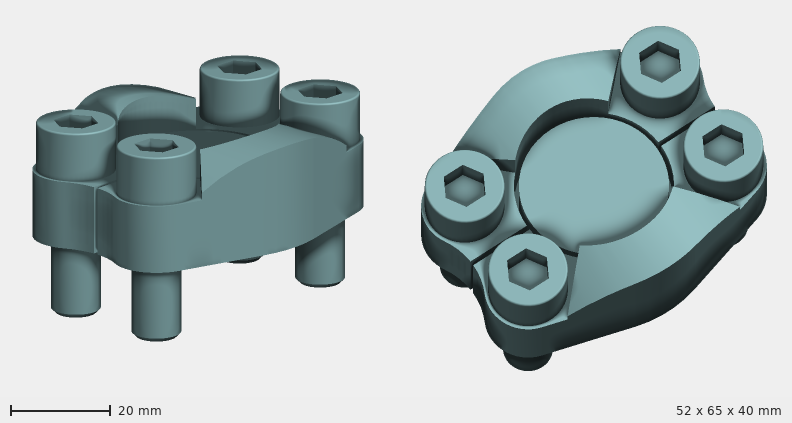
import cadquery as cq
import math

overall_length = 65.0
crown_radius = 26.0
bolt_x = 11.1
bolt_y = 23.8
ear_radius = overall_length / 2 - bolt_y
waist_radius = 15.0
base_height = 14.0
crown_height = 22.0
crown_arc_radius = 37.5
gap_width = 1.0

bore_diameter = 32.05
neck_diameter = 30.1
flange_diameter = 38.1
flange_bottom = -2.0
flange_top = 4.7
rim_groove_bottom = 0.2
rim_groove_top = 1.4
rim_groove_depth = 0.5

head_diameter = 16.0
head_height = 10.0
head_fillet = 0.4
shank_diameter = 10.0
shank_bottom = -16.0
tip_chamfer = 0.9
socket_flats = 8.0
socket_depth = 5.0


def clamp_outline():
    """Closed outline of both halves: side arcs, straight flanks, ears and waists, all tangent."""
    ear_distance = math.hypot(bolt_x, bolt_y)
    flank = math.atan2(bolt_y, bolt_x) - math.acos((crown_radius - ear_radius) / ear_distance)
    waist_y = bolt_y + math.sqrt((ear_radius + waist_radius) ** 2 - bolt_x ** 2)
    waist_angle = math.atan2(waist_y - bolt_y, -bolt_x)

    def on_ear(angle):
        return (bolt_x + ear_radius * math.cos(angle), bolt_y + ear_radius * math.sin(angle))

    side = (crown_radius * math.cos(flank), crown_radius * math.sin(flank))
    ear_start = on_ear(flank)
    ear_top = on_ear(math.pi / 2)
    ear_end = on_ear(waist_angle)
    waist_low = (0, waist_y - waist_radius)

    def flip(point, x_sign, y_sign):
        return (x_sign * point[0], y_sign * point[1])

    outline = cq.Workplane("XY").moveTo(*flip(side, 1, -1)).threePointArc((crown_radius, 0), side)
    outline = outline.lineTo(*ear_start).threePointArc(ear_top, ear_end)
    outline = outline.threePointArc(waist_low, flip(ear_end, -1, 1))
    outline = outline.threePointArc(flip(ear_top, -1, 1), flip(ear_start, -1, 1))
    outline = outline.lineTo(*flip(side, -1, 1)).threePointArc((-crown_radius, 0), flip(side, -1, -1))
    outline = outline.lineTo(*flip(ear_start, -1, -1))
    outline = outline.threePointArc(flip(ear_top, -1, -1), flip(ear_end, -1, -1))
    outline = outline.threePointArc(flip(waist_low, 1, -1), flip(ear_end, 1, -1))
    outline = outline.threePointArc(flip(ear_top, 1, -1), flip(ear_start, 1, -1))
    return outline.close()


def cylinder(diameter, bottom, top):
    return cq.Workplane("XY").workplane(offset=bottom).circle(diameter / 2).extrude(top - bottom)


def make_clamp():
    body = clamp_outline().extrude(crown_height)

    reach = 2 * crown_radius
    arch = (
        cq.Workplane("YZ")
        .center(0, crown_height - crown_arc_radius)
        .circle(crown_arc_radius)
        .extrude(reach, both=True)
    )
    above_seats = (
        cq.Workplane("XY")
        .workplane(offset=base_height)
        .rect(2 * reach, 2 * reach)
        .extrude(crown_height)
    )
    body = body.cut(above_seats.cut(arch))

    for end in (1, -1):
        seat = (
            cq.Workplane("XY")
            .workplane(offset=base_height)
            .polyline([(0, 0), (reach, end * reach), (-reach, end * reach)])
            .close()
            .extrude(crown_height)
        )
        body = body.cut(seat)

    body = body.cut(cylinder(bore_diameter, 0, crown_height))
    body = body.cut(cylinder(flange_diameter, 0, flange_top))
    gap = cq.Workplane("XY").rect(gap_width, 2 * reach).extrude(crown_height)
    return body.cut(gap)


def make_plug():
    flange = cylinder(flange_diameter, flange_bottom, flange_top)
    groove = cylinder(flange_diameter, rim_groove_bottom, rim_groove_top)
    groove = groove.cut(cylinder(flange_diameter - 2 * rim_groove_depth, rim_groove_bottom, rim_groove_top))
    neck = cylinder(neck_diameter, flange_top, base_height)
    return flange.cut(groove).union(neck)


def make_bolt():
    head_top = base_height + head_height
    head = cylinder(head_diameter, base_height, head_top).faces(">Z").fillet(head_fillet)
    shank = cylinder(shank_diameter, shank_bottom, base_height).faces("<Z").chamfer(tip_chamfer)
    socket_corners = socket_flats / math.cos(math.pi / 6)
    socket = (
        cq.Workplane("XY")
        .workplane(offset=head_top - socket_depth)
        .transformed(rotate=(0, 0, 90))
        .polygon(6, socket_corners)
        .extrude(socket_depth)
    )
    return head.union(shank).cut(socket)


result = make_clamp().union(make_plug())
bolt = make_bolt()
for x in (bolt_x, -bolt_x):
    for y in (bolt_y, -bolt_y):
        result = result.union(bolt.translate((x, y, 0)))